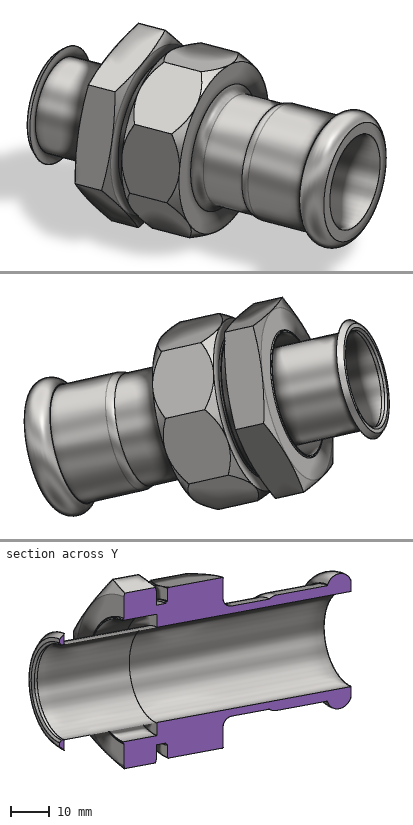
import cadquery as cq
import math

LENGTH = 90.0

BORE_D = 25.65
MOUTH_D = 27.0
MOUTH_DEPTH = 0.5

INLET_D = 26.0
FLARE_FACE_D = 29.2
FLARE_D = 31.7
FLARE_LENGTH = 1.5

FLANGE_START = 19.8
FLANGE_END = 30.0
FLANGE_CORNER_R = 26.55
FLANGE_FACE_D = 45.7
FLANGE_CHAMFER = 1.1
COLLAR_HEIGHT = 0.3
COLLAR_FACE_D = 33.5
COLLAR_BASE_D = 34.0
RECESS_D = 32.8

NECK_D = 38.0
SHOULDER_START = 32.8
SHOULDER_D = 39.0

UNION_START = 33.3
UNION_END = 50.6
UNION_CORNER_R = 24.8
UNION_FACE_D = 45.9
UNION_CHAMFER = 3.1

CORNER_ANGLE = 15.0

BLEND_R = 2.7
TUBE_START = 53.2
TUBE_D = 30.0
STEP_START = 64.8
SOCKET_START = 67.05
SOCKET_D = 31.4
BEAD_START = 82.7
BEAD_EDGE_D = 31.9
BEAD_D = 36.7


def cylinder(start, end, diameter):
    """Solid cylinder along X."""
    return cq.Workplane("YZ", origin=(start, 0, 0)).circle(diameter / 2).extrude(end - start)


def cone(start, end, start_d, end_d):
    """Solid conical frustum along X."""
    profile = cq.Workplane("XY").polyline([(start, 0), (start, start_d / 2), (end, end_d / 2), (end, 0)])
    return profile.close().revolve(360, (0, 0, 0), (1, 0, 0))


def nut(start, end, sides, corner_r, face_d, chamfer):
    """Polygonal prism whose corners are turned down to a cone at both ends."""
    step = 360 / sides
    angles = [math.radians(CORNER_ANGLE + i * step) for i in range(sides)]
    corners = [(corner_r * math.cos(a), corner_r * math.sin(a)) for a in angles]
    prism = cq.Workplane("YZ", origin=(start, 0, 0)).polyline(corners).close().extrude(end - start)
    corner_d = 2 * corner_r
    envelope = (
        cone(start, start + chamfer, face_d, corner_d)
        .union(cylinder(start + chamfer, end - chamfer, corner_d))
        .union(cone(end - chamfer, end, corner_d, face_d))
    )
    return prism.intersect(envelope)


def inlet():
    """Inlet tube with the flare at its mouth."""
    flare = cone(0, FLARE_LENGTH, FLARE_FACE_D, FLARE_D)
    return cylinder(0, FLANGE_END, INLET_D).union(flare)


def flange():
    """Flange nut and collar, with the annular clearance around the inlet cut out."""
    body = nut(FLANGE_START, FLANGE_END, 6, FLANGE_CORNER_R, FLANGE_FACE_D, FLANGE_CHAMFER)
    collar_start = FLANGE_START - COLLAR_HEIGHT
    collar = cone(collar_start, FLANGE_START, COLLAR_FACE_D, COLLAR_BASE_D)
    return body.union(collar).cut(cylinder(collar_start, FLANGE_END, RECESS_D))


def outlet():
    """Outlet tube, blended step, press socket and end bead as one revolved profile."""
    tube_r = TUBE_D / 2
    socket_r = SOCKET_D / 2
    bead_edge_r = BEAD_EDGE_D / 2
    blend_length = TUBE_START - UNION_END
    blend_top = tube_r + BLEND_R - math.sqrt(BLEND_R**2 - blend_length**2)
    half_angle = math.asin(blend_length / BLEND_R) / 2
    blend_mid = (
        TUBE_START - BLEND_R * math.sin(half_angle),
        tube_r + BLEND_R * (1 - math.cos(half_angle)),
    )
    step_length = SOCKET_START - STEP_START
    step_height = socket_r - tube_r
    step_r = (step_length**2 + step_height**2) / (2 * step_height)
    step_half_angle = math.asin(step_length / step_r) / 2
    step_mid = (
        SOCKET_START - step_r * math.sin(step_half_angle),
        socket_r - step_r * (1 - math.cos(step_half_angle)),
    )
    bead_crest = ((BEAD_START + LENGTH) / 2, BEAD_D / 2)
    return (
        cq.Workplane("XY")
        .moveTo(UNION_END, 0)
        .lineTo(UNION_END, blend_top)
        .threePointArc(blend_mid, (TUBE_START, tube_r))
        .lineTo(STEP_START, tube_r)
        .threePointArc(step_mid, (SOCKET_START, socket_r))
        .lineTo(BEAD_START, socket_r)
        .lineTo(BEAD_START, bead_edge_r)
        .threePointArc(bead_crest, (LENGTH, bead_edge_r))
        .lineTo(LENGTH, 0)
        .close()
        .revolve(360, (0, 0, 0), (1, 0, 0))
    )


neck = cylinder(FLANGE_END, SHOULDER_START, NECK_D)
shoulder = cylinder(SHOULDER_START, UNION_START, SHOULDER_D)
union_nut = nut(UNION_START, UNION_END, 8, UNION_CORNER_R, UNION_FACE_D, UNION_CHAMFER)

body = flange().union(inlet()).union(neck).union(shoulder).union(union_nut).union(outlet())
bore = cylinder(0, LENGTH, BORE_D).union(cone(0, MOUTH_DEPTH, MOUTH_D, BORE_D))
result = body.cut(bore)